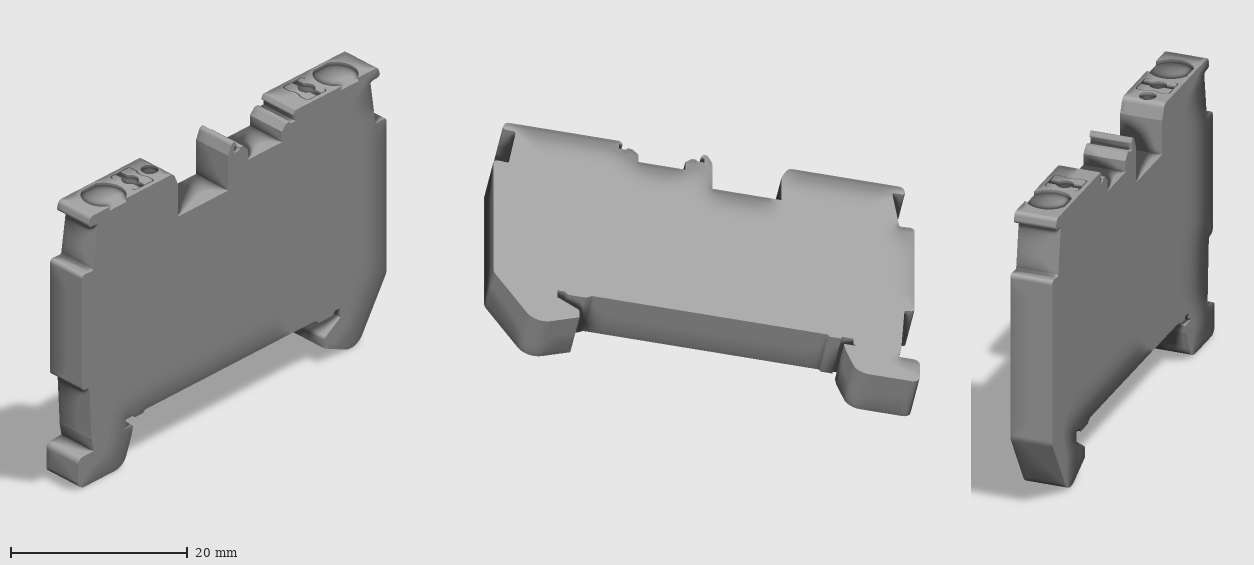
import cadquery as cq
import math


thickness = 5.15
length = 49.3
height = 35.4

left_y = length / 2
foot_y = -length / 2
upper_mid_y = 0.3
latch_mid_y = 5.2
latch_half_width = 2.7
slot_left_y = -0.7
slot_right_y = -8.7

base_z = 6.05
shoulder_z = 28.2
shoulder_dip = 0.15
flange_under_z = 34.05
slot_floor_z = 29.4
channel_floor_z = 32.1
ledge_z = 33.95
hook_under_z = 34.8

shoulder_reach = left_y - upper_mid_y
tip_reach = 23.2
neck_top_reach = 21.75
neck_bottom_reach = 22.6
edge_round = 0.5

mark_depth = 0.5
well_reach = 18.55
well_radius = 2.6
well_x = 0.2
well_min_x = -2.15
well_mouth_width = 2.8
screw_reach = 14.1
screw_diameter = 2.0
screw_slot_width = 0.9
frame_half_width = 2.05
frame_outer_end = 1.35
frame_inner_end = 1.9
frame_groove = 0.15
frame_round = 0.4
frame_lip = 0.55
pin_offset = 3.1
frame_bow_radius = 1.45


def rounded_outline(corners):
    """Closed wire in the YZ plane through (y, z, radius) corners, each rounded by its radius."""
    path = None
    count = len(corners)
    for i in range(count):
        y, z, radius = corners[i]
        here = cq.Vector(y, z, 0)
        before = cq.Vector(*corners[i - 1][:2], 0)
        after = cq.Vector(*corners[(i + 1) % count][:2], 0)
        to_before = (before - here).normalized()
        to_after = (after - here).normalized()
        half_angle = to_before.getAngle(to_after) / 2
        setback = radius / math.tan(half_angle)
        start = here + to_before * setback
        if path is None:
            path = cq.Workplane("YZ", origin=(-thickness / 2, 0, 0)).moveTo(start.x, start.y)
        else:
            path = path.lineTo(start.x, start.y)
        if radius > 0:
            inward = (to_before + to_after).normalized()
            middle = here + inward * (radius / math.sin(half_angle) - radius)
            end = here + to_after * setback
            path = path.threePointArc((middle.x, middle.y), (end.x, end.y))
    return path.close()


def mirrored(corners, mirror_y):
    """The same corners reflected in Y, in reverse order so that the outline keeps its direction."""
    return [(2 * mirror_y - y, z, radius) for y, z, radius in reversed(corners)]


def upper_end():
    """Shoulder, sloping neck and overhanging flange of the +Y end, from the side wall to the top."""
    return [
        (upper_mid_y + shoulder_reach, shoulder_z, edge_round),
        (upper_mid_y + neck_bottom_reach, shoulder_z - shoulder_dip, 0.3),
        (upper_mid_y + neck_top_reach, flange_under_z - 0.1, 0.3),
        (upper_mid_y + tip_reach + 0.15, flange_under_z, 0.4),
        (upper_mid_y + tip_reach - 0.25, height, 0.6),
    ]


def channel_side():
    """+Y side of the marker channel: undercut hook, groove and ramped rib, from the top to the floor."""
    wall_y = latch_mid_y + latch_half_width
    groove_y = latch_mid_y + 4.95
    return [
        (groove_y - 0.1, height, 0),
        (groove_y - 0.4, hook_under_z + 0.15, 0),
        (groove_y - 0.4, hook_under_z, 0),
        (groove_y, hook_under_z, 0),
        (groove_y, ledge_z, 0),
        (wall_y + 1.3, ledge_z, 0.25),
        (wall_y + 1.3, ledge_z + 0.3, 0),
        (wall_y + 0.75, ledge_z + 0.3, 0),
        (wall_y, ledge_z - 0.5, 0),
        (wall_y, channel_floor_z, 0),
    ]


def wide_slot():
    """Latch back and wide open slot, up to the right-hand top."""
    return [
        (slot_left_y + 0.6, height, 0.5),
        (slot_left_y, ledge_z, 0),
        (slot_left_y, slot_floor_z, 0),
        (slot_right_y, slot_floor_z, 0),
        (slot_right_y, ledge_z - 0.35, 0),
        (slot_right_y - 0.75, height, 0.8),
    ]


def right_foot():
    """Foot at the -Y end, from the right side wall round to the underside."""
    side_y = 2 * upper_mid_y - left_y
    side_bottom_z = 12.85
    foot_top_z = 4.1
    grip_z = 4.85
    return [
        (side_y, side_bottom_z, edge_round),
        (side_y + 1.2, side_bottom_z - 0.1, 0.4),
        (side_y + 1.55, base_z + 0.1, 0),
        (side_y + 1.55, base_z - 0.3, 0),
        (side_y + 1.8, foot_top_z, 0),
        (foot_y, foot_top_z, 0.75),
        (foot_y, 0, 1.0),
        (foot_y + 7.25, 0, 1.95),
        (foot_y + 8.6, grip_z - 1.1, 1.5),
        (foot_y + 8.8, grip_z, 0.1),
        (foot_y + 7.3, grip_z, 0),
        (foot_y + 7.65, grip_z + 0.35, 0),
        (foot_y + 7.65, base_z, 0),
    ]


def underside():
    """Two low pads on the underside, from the right foot to the left one."""
    right_pad_drop = 0.35
    right_pad_start = -15.6
    right_pad_end = -14.0
    left_pad_drop = 0.5
    left_pad_start = 13.2
    left_pad_end = 16.4
    return [
        (right_pad_start, base_z, 0),
        (right_pad_start, base_z - right_pad_drop, 0),
        (right_pad_end - 0.3, base_z - right_pad_drop, 0),
        (right_pad_end, base_z, 0),
        (left_pad_start, base_z, 0),
        (left_pad_start + 0.7, base_z - left_pad_drop, 0),
        (left_pad_end - 0.45, base_z - left_pad_drop, 0),
        (left_pad_end, base_z, 0),
    ]


def left_foot():
    """Hooked foot at the +Y end, from the underside round to the left side wall."""
    hook_root_y = 17.25
    hook_tip_y = 14.7
    hook_tip_top_z = 3.1
    hook_tip_bottom_z = 1.77
    heel_y = 19.75
    heel_z = -0.65
    heel_round = 2.15
    bend_z = 7.65
    return [
        (hook_root_y, base_z, 0),
        (hook_root_y, base_z - 1.25, 0),
        (hook_tip_y, hook_tip_top_z, 0.5),
        (hook_tip_y, hook_tip_bottom_z, 0),
        (heel_y, heel_z, heel_round),
        (left_y, bend_z, 1.5),
    ]


def sunk(sketch):
    """Solid that sinks a closed shape into the top face."""
    return sketch.extrude(-mark_depth)


def well(toward_end):
    """Round well, flat on its -X side and open through the +X face."""
    center_y = upper_mid_y + toward_end * well_reach
    top = cq.Workplane("XY", origin=(0, center_y, height))
    mouth_length = thickness / 2 - well_x
    disc_keep_x = well_x + well_radius - well_min_x
    disc = sunk(top.center(well_x, 0).circle(well_radius))
    keep = sunk(top.center(well_min_x + disc_keep_x / 2, 0).rect(disc_keep_x, 2 * well_radius))
    mouth = sunk(top.center(well_x + mouth_length / 2, 0).rect(mouth_length, well_mouth_width))
    return disc.intersect(keep).union(mouth)


def frame_shape(top, toward_end, inset):
    """Frame block around the screw, pulled in by the inset, with a bow cleared around the pin."""
    outer = frame_outer_end - inset
    inner = frame_inner_end - inset
    block = sunk(top.center(0, toward_end * (outer - inner) / 2)
                 .rect(2 * (frame_half_width - inset), outer + inner))
    block = block.edges("|Z").fillet(frame_round - inset)
    bow = sunk(top.center(0, -toward_end * pin_offset).circle(frame_bow_radius + inset))
    return block.cut(bow)


def screw_mark(toward_end):
    """Slotted screw head inside a thin frame groove that is open towards the well."""
    center_y = upper_mid_y + toward_end * screw_reach
    top = cq.Workplane("XY", origin=(0, center_y, height))
    head = sunk(top.circle(screw_diameter / 2))
    slot = sunk(top.rect(2 * frame_half_width, screw_slot_width))
    opening_width = 2 * (frame_half_width - frame_lip)
    opening = sunk(top.center(0, toward_end * frame_outer_end).rect(opening_width, 2 * frame_round))
    groove = frame_shape(top, toward_end, 0).cut(frame_shape(top, toward_end, frame_groove))
    return groove.cut(opening).union(head).union(slot)


def pin_hole():
    """Round recess beside the -Y screw mark."""
    center_y = upper_mid_y - screw_reach + pin_offset
    return sunk(cq.Workplane("XY", origin=(0, center_y, height)).circle(screw_diameter / 2))


outline = (
    upper_end()
    + channel_side()
    + mirrored(channel_side(), latch_mid_y)
    + wide_slot()
    + mirrored(upper_end(), upper_mid_y)
    + right_foot()
    + underside()
    + left_foot()
)
result = rounded_outline(outline).extrude(thickness)

for end in (1, -1):
    result = result.cut(well(end)).cut(screw_mark(end))
result = result.cut(pin_hole())